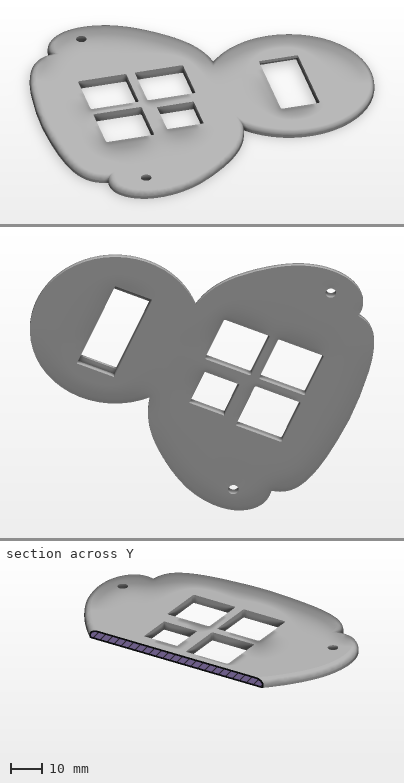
import cadquery as cq
import math

thickness = 3.0
edge_round = 2.0

head_radius = 27.5
head_center_y = 82.5
neck_x = 18.7
wing_x = 47.8
wing_y = 27.5
notch_x = 35.6
notch_y = 12.6

wing_hole_diameter = 3.4
wing_hole_x = 40.0
wing_hole_y = 24.1

window_width = 27.5
window_height = 13.0
window_center = (0.5, head_center_y)
window_lip_thickness = 1.0
window_relief_length = 2.0
key_size = 16.0
corner_round = 0.5
left_key_x = -9.5
right_key_x = 9.6
upper_key_y = 43.8
lower_key_y = 24.8
small_key_width = 12.6
small_key_height = 12.2
small_key_center = (9.3, upper_key_y)

neck_y = head_center_y - math.sqrt(head_radius**2 - neck_x**2)

wing_upper_side = [(neck_x, neck_y), (28.8, 58.3), (38.9, 48.4), (45.2, 38.4), (wing_x, wing_y)]
wing_lower_side = [(wing_x, wing_y), (46.2, 18.6), (43.2, 14.6), (notch_x, notch_y)]
belly_side = [(notch_x, notch_y), (32.5, 6.6), (24.4, 2.6), (12.1, 0.7), (0, 0)]


def mirrored(points):
    """Reflect a right-hand curve to the left, in reverse travel order."""
    return [(-x, y) for x, y in reversed(points)]


def add_curve(outline, points):
    """Continue the outline with a smooth curve from points[0]."""
    return outline.spline(points[1:], includeCurrent=True)


def plate():
    wing = wing_upper_side + wing_lower_side[1:]
    outline = cq.Workplane("XY").moveTo(-neck_x, neck_y)
    outline = outline.threePointArc((0, head_center_y + head_radius), (neck_x, neck_y))
    for curve in (wing, belly_side + mirrored(belly_side)[1:], mirrored(wing)):
        outline = add_curve(outline, curve)
    body = outline.close().extrude(thickness)
    return body.faces(">Z").edges().fillet(edge_round)


def opening(center, width, height, corner_radius=0):
    """Rectangular cutter through the full plate."""
    cutter = cq.Workplane("XY").center(*center).rect(width, height).extrude(thickness)
    if corner_radius:
        cutter = cutter.edges("|Z").fillet(corner_radius)
    return cutter


def window_end_reliefs():
    """Underside recess that leaves a thin lip over both short ends of the window."""
    length = window_width + 2 * window_relief_length
    depth = thickness - window_lip_thickness
    return cq.Workplane("XY").center(*window_center).rect(length, window_height).extrude(depth)


def wing_holes():
    places = [(side * wing_hole_x, wing_hole_y) for side in (-1, 1)]
    return cq.Workplane("XY").pushPoints(places).circle(wing_hole_diameter / 2).extrude(thickness)


cutters = [
    opening(window_center, window_width, window_height, corner_round),
    window_end_reliefs(),
    opening((left_key_x, upper_key_y), key_size, key_size, corner_round),
    opening((left_key_x, lower_key_y), key_size, key_size, corner_round),
    opening((right_key_x, lower_key_y), key_size, key_size, corner_round),
    opening(small_key_center, small_key_width, small_key_height),
    wing_holes(),
]

result = plate()
for cutter in cutters:
    result = result.cut(cutter)